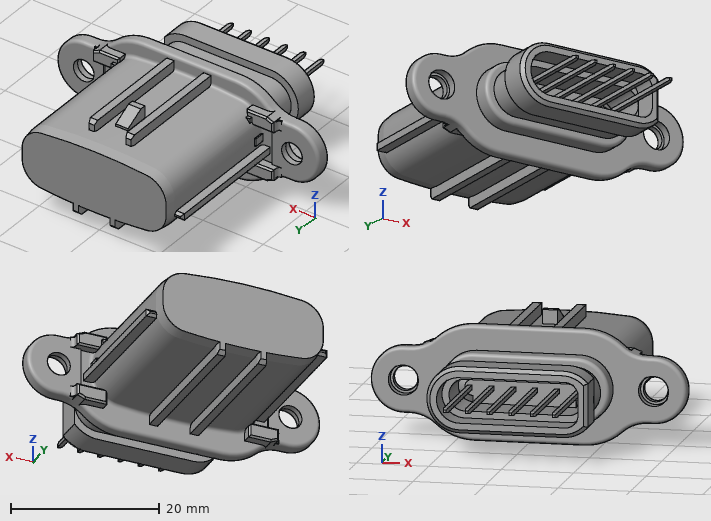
import cadquery as cq
import math


flange_length = 43.6
flange_height = 15.9
lobe_radius = flange_height / 2
lobe_x = 7.55
ear_radius = 4.55
ear_x = flange_length / 2 - ear_radius
ear_flat_end_x = 16.45
ear_thickness = 2.25
plate_thickness = 2.0
plate_half_length = 13.95
flange_round = 0.52
screw_hole_diameter = 3.4
counterbore_diameter = 4.15
counterbore_depth = 1.3

pad_inner_x = 10.55
pad_outer_x = 15.0
pad_half_height = 5.2
pad_inner_z = 3.0
pad_back_y = 3.5
pad_root_fillet = 0.52
pad_chamfer = 0.25
upper_clip_back_y = 3.95
upper_clip_width = 0.95
upper_clip_z = 3.25
upper_clip_height = 1.05
side_clip_back_y = 3.8
side_clip_width = 0.45
side_clip_z = 0.1
side_clip_height = 1.2

body_back_y = 23.97
body_taper_start_y = 22.25
body_taper_inset = 0.2
body_half_width = 12.15
body_center_z = 0.52
body_half_height = 5.15
crown_half_width = 8.55
crown_edge_half_height = 4.7
side_flat_half_height = 0.75
body_root_fillet = 0.52

rib_x = 3.05
rib_width = 1.2
rib_nose_length = 0.55
rib_nose_inset = 0.17
top_rib_z = 7.25
top_rib_back_y = 20.25
bottom_rib_z = -6.0
side_rib_half_span = 13.45
side_rib_bottom_z = -1.6
side_rib_height = 1.05
side_rib_chamfer = 0.4
latch_width = 2.05
latch_top_z = 7.65
latch_front_y = 13.65
latch_ramp_y = 14.55
latch_back_y = 17.52
latch_back_rise = 0.35

plug_half_straight = 7.1
plug_radius = 4.58
neck_radius = 3.4
collar_front_y = -2.55
head_back_y = -7.0
head_front_y = -11.25
head_key_x = 10.55
plug_round = 0.52

mouth_radius = 3.15
mouth_depth = 3.5
mouth_key_x = 9.3
mouth_corner_radius = 1.85
socket_radius = 2.2
socket_floor_y = collar_front_y
island_top_radius = 1.15
moat_depth = 0.7
key_bridge_width = 0.6

pin_count = 6
pin_pitch = 3.0
pin_size = 0.6
pin_tip_y = -18.53
pin_tip_length = 0.65
pin_tip_size = 0.35


def back_plane(y):
    """Sketch plane facing +Y with its second axis along +Z."""
    return cq.Workplane(cq.Plane(origin=(0, y, 0), xDir=(-1, 0, 0), normal=(0, 1, 0)))


def front_plane(y):
    """Sketch plane facing -Y with its axes along +X and +Z."""
    return cq.Workplane("XZ", origin=(0, y, 0))


def block(x_range, y_range, z_range):
    """Box given by its limits along each axis."""
    sizes = [high - low for low, high in (x_range, y_range, z_range)]
    corner = (x_range[0], y_range[0], z_range[0])
    return cq.Workplane("XY").box(*sizes, centered=False).translate(corner)


def stadium(y_front, y_back, radius):
    """Prism with round ends, all plug sections share the same end centers."""
    length = 2 * (plug_half_straight + radius)
    return back_plane(y_front).slot2D(length, 2 * radius).extrude(y_back - y_front)


def both_ends(solid):
    """The solid together with its mirror image at the other X end."""
    return solid.union(solid.mirror("YZ"))


def flange_blank(thickness):
    """Wide lobe blended into an ear at each end by a tangent hollow arc."""
    run = ear_flat_end_x - lobe_x
    drop = lobe_radius - ear_radius
    hollow_radius = (run**2 + drop**2) / (2 * drop) - lobe_radius
    blend_angle = math.asin(run / (lobe_radius + hollow_radius))

    def lobe_point(angle):
        return lobe_x + lobe_radius * math.sin(angle), lobe_radius * math.cos(angle)

    def hollow_point(angle):
        return (
            ear_flat_end_x - hollow_radius * math.sin(angle),
            ear_radius + hollow_radius * (1 - math.cos(angle)),
        )

    upper_half = (
        back_plane(0)
        .moveTo(0, 0)
        .lineTo(0, lobe_radius)
        .lineTo(lobe_x, lobe_radius)
        .threePointArc(lobe_point(blend_angle / 2), lobe_point(blend_angle))
        .threePointArc(hollow_point(blend_angle / 2), (ear_flat_end_x, ear_radius))
        .lineTo(ear_x, ear_radius)
        .threePointArc(
            (ear_x + ear_radius * math.sqrt(0.5), ear_radius * math.sqrt(0.5)),
            (flange_length / 2, 0),
        )
        .close()
        .extrude(thickness)
    )
    upper = upper_half.union(upper_half.mirror("YZ"))
    return upper.union(upper.mirror("XY")).clean()


def flange_layer(thickness):
    return flange_blank(thickness).faces("<Y or >Y").edges().fillet(flange_round)


def make_flange():
    plate = flange_layer(plate_thickness)
    end_zone = block(
        (plate_half_length, flange_length),
        (0, ear_thickness),
        (-flange_height, flange_height),
    )
    return plate.union(flange_layer(ear_thickness).intersect(both_ends(end_zone)))


def drill_screw_holes(solid):
    for x in (-ear_x, ear_x):
        hole = front_plane(ear_thickness).center(x, 0).circle(screw_hole_diameter / 2)
        bore = front_plane(counterbore_depth).center(x, 0).circle(counterbore_diameter / 2)
        solid = solid.cut(hole.extrude(ear_thickness))
        solid = solid.cut(bore.extrude(counterbore_depth))
    return solid


def make_pad_root():
    """Hollow fillets where the outer pad faces meet the back of the ear."""
    root = block(
        (pad_outer_x - pad_root_fillet, pad_outer_x + pad_root_fillet),
        (ear_thickness - pad_root_fillet, ear_thickness + pad_root_fillet),
        (pad_inner_z, ear_radius),
    )
    hollow = (
        cq.Workplane("XY")
        .center(pad_outer_x + pad_root_fillet, ear_thickness + pad_root_fillet)
        .circle(pad_root_fillet)
        .extrude(ear_radius)
    )
    root = root.cut(hollow)
    return root.union(root.mirror("XY"))


def make_pads():
    """Corner pads trimmed to the flange outline, with small clips."""
    corner = block(
        (pad_inner_x, pad_outer_x),
        (flange_round, pad_back_y),
        (pad_inner_z, pad_half_height),
    )
    corners = corner.union(corner.mirror("XY")).intersect(flange_blank(pad_back_y))
    corners = corners.faces(">Y").edges().chamfer(pad_chamfer)
    root = make_pad_root()
    upper_clip = block(
        (pad_inner_x, pad_inner_x + upper_clip_width),
        (flange_round, upper_clip_back_y),
        (upper_clip_z, upper_clip_z + upper_clip_height),
    )
    side_clip = block(
        (body_half_width - side_clip_width / 2, body_half_width + side_clip_width / 2),
        (flange_round, side_clip_back_y),
        (side_clip_z, side_clip_z + side_clip_height),
    )
    return both_ends(corners.union(root).union(upper_clip).union(side_clip))


def body_outline(y):
    """Crowned top and bottom, short flat sides and rounded corners."""
    corner_run = body_half_width - crown_half_width
    corner_rise = crown_edge_half_height - side_flat_half_height
    mid = math.sqrt(0.5)
    corner_x = crown_half_width + corner_run * mid
    corner_z = side_flat_half_height + corner_rise * mid
    return (
        back_plane(y)
        .center(0, body_center_z)
        .moveTo(-crown_half_width, crown_edge_half_height)
        .threePointArc((0, body_half_height), (crown_half_width, crown_edge_half_height))
        .threePointArc((corner_x, corner_z), (body_half_width, side_flat_half_height))
        .lineTo(body_half_width, -side_flat_half_height)
        .threePointArc((corner_x, -corner_z), (crown_half_width, -crown_edge_half_height))
        .threePointArc((0, -body_half_height), (-crown_half_width, -crown_edge_half_height))
        .threePointArc((-corner_x, -corner_z), (-body_half_width, -side_flat_half_height))
        .lineTo(-body_half_width, side_flat_half_height)
        .threePointArc((-corner_x, corner_z), (-crown_half_width, crown_edge_half_height))
        .close()
    )


def make_body():
    main = body_outline(flange_round).extrude(body_taper_start_y - flange_round)
    taper_length = body_back_y - body_taper_start_y
    taper_angle = math.degrees(math.atan(body_taper_inset / taper_length))
    end = body_outline(body_taper_start_y).extrude(taper_length, taper=taper_angle)
    return main.union(end)


def fillet_body_root(solid):
    """Round the joint between the body and the back of the flange plate."""
    margin = 0.05
    reach_x = body_half_width + margin
    bottom_z = body_center_z - body_half_height - margin
    top_z = body_center_z + body_half_height + margin
    root_zone = cq.selectors.BoxSelector(
        (-reach_x, plate_thickness - margin, bottom_z),
        (reach_x, plate_thickness + margin, top_z),
        boundingbox=True,
    )
    return solid.edges(root_zone).fillet(body_root_fillet)


def nosed_rib(x, back_y, crest_z):
    """Guide rib from mid-body out to its crest, its rear end narrowed and beveled."""
    half_width = rib_width / 2
    nose_half_width = half_width - rib_nose_inset
    nose_start_y = back_y - rib_nose_length
    rib = (
        cq.Workplane("XY", origin=(x, 0, body_center_z))
        .moveTo(-half_width, flange_round)
        .lineTo(half_width, flange_round)
        .lineTo(half_width, nose_start_y)
        .lineTo(nose_half_width, back_y)
        .lineTo(-nose_half_width, back_y)
        .lineTo(-half_width, nose_start_y)
        .close()
        .extrude(crest_z - body_center_z)
    )
    bevel = (
        cq.Workplane("YZ", origin=(x - half_width, 0, 0))
        .moveTo(back_y, crest_z)
        .lineTo(nose_start_y, crest_z)
        .lineTo(back_y, crest_z - math.copysign(rib_nose_length, crest_z))
        .close()
        .extrude(rib_width)
    )
    return rib.cut(bevel)


def make_ribs():
    ribs = block(
        (-side_rib_half_span, side_rib_half_span),
        (flange_round, body_taper_start_y),
        (side_rib_bottom_z, side_rib_bottom_z + side_rib_height),
    )
    ribs = ribs.faces(">Y").edges().chamfer(side_rib_chamfer)
    for x in (-rib_x, rib_x):
        ribs = ribs.union(nosed_rib(x, top_rib_back_y, top_rib_z))
        ribs = ribs.union(nosed_rib(x, body_back_y, bottom_rib_z))
    return ribs


def make_latch():
    """Wedge with a steep front face and a ramp falling to the rear."""
    ramp_end_z = body_center_z + body_half_height + latch_back_rise
    return (
        cq.Workplane("YZ", origin=(-latch_width / 2, 0, 0))
        .moveTo(latch_front_y, body_center_z)
        .lineTo(latch_front_y, latch_top_z)
        .lineTo(latch_ramp_y, latch_top_z)
        .lineTo(latch_back_y, ramp_end_z)
        .lineTo(latch_back_y, body_center_z)
        .close()
        .extrude(latch_width)
    )


def make_plug():
    collar = stadium(collar_front_y, flange_round, plug_radius)
    collar = collar.faces("<Y").edges().fillet(plug_round)
    neck = stadium(head_back_y, collar_front_y, neck_radius)
    head = stadium(head_front_y, head_back_y, plug_radius)
    head = head.intersect(
        block(
            (-flange_length, head_key_x),
            (head_front_y, head_back_y),
            (-plug_radius, plug_radius),
        )
    )
    head = head.faces("<Y").edges().chamfer(plug_round)
    return collar.union(neck).union(head)


def make_cavity():
    """Wide mouth, then a narrower socket with a moat at each end."""
    mouth_floor_y = head_front_y + mouth_depth
    mouth_left = stadium(head_front_y, mouth_floor_y, mouth_radius).intersect(
        block((-flange_length, 0), (head_front_y, mouth_floor_y), (-mouth_radius, mouth_radius))
    )
    mouth_right = block(
        (0, mouth_key_x), (head_front_y, mouth_floor_y), (-mouth_radius, mouth_radius)
    )
    mouth_right = mouth_right.edges("|Y and >X").fillet(mouth_corner_radius)

    socket = stadium(mouth_floor_y, socket_floor_y, socket_radius)
    return mouth_left.union(mouth_right).union(socket).union(make_moats())


def make_moats():
    """Half-ring grooves in the socket floor, widening from a conical island."""
    moat_bottom_y = socket_floor_y + moat_depth
    inner_part = block(
        (-plug_half_straight, plug_half_straight),
        (socket_floor_y, moat_bottom_y),
        (-socket_radius, socket_radius),
    )
    island = cq.Solid.makeCone(
        island_top_radius,
        socket_radius,
        moat_depth,
        cq.Vector(plug_half_straight, socket_floor_y, 0),
        cq.Vector(0, 1, 0),
    )
    key_bridge = block(
        (plug_half_straight, plug_half_straight + socket_radius),
        (socket_floor_y, moat_bottom_y),
        (-key_bridge_width / 2, key_bridge_width / 2),
    )
    moats = stadium(socket_floor_y, moat_bottom_y, socket_radius).cut(inner_part)
    return moats.cut(both_ends(cq.Workplane(island))).cut(key_bridge)


def make_pins():
    pin_back_y = flange_round
    shank_front_y = pin_tip_y + pin_tip_length
    pins = cq.Workplane("XY")
    for index in range(pin_count):
        x = (index - (pin_count - 1) / 2) * pin_pitch
        shank = front_plane(pin_back_y).center(x, 0).rect(pin_size, pin_size)
        pins = pins.union(shank.extrude(pin_back_y - shank_front_y))
        tip = (
            front_plane(shank_front_y)
            .center(x, 0)
            .rect(pin_size, pin_size)
            .workplane(offset=pin_tip_length)
            .rect(pin_tip_size, pin_tip_size)
            .loft(combine=True)
        )
        pins = pins.union(tip)
    return pins


result = fillet_body_root(make_flange().union(make_body()))
result = drill_screw_holes(result)
result = result.union(make_pads()).union(make_ribs()).union(make_latch())
result = result.union(make_plug()).cut(make_cavity()).union(make_pins())